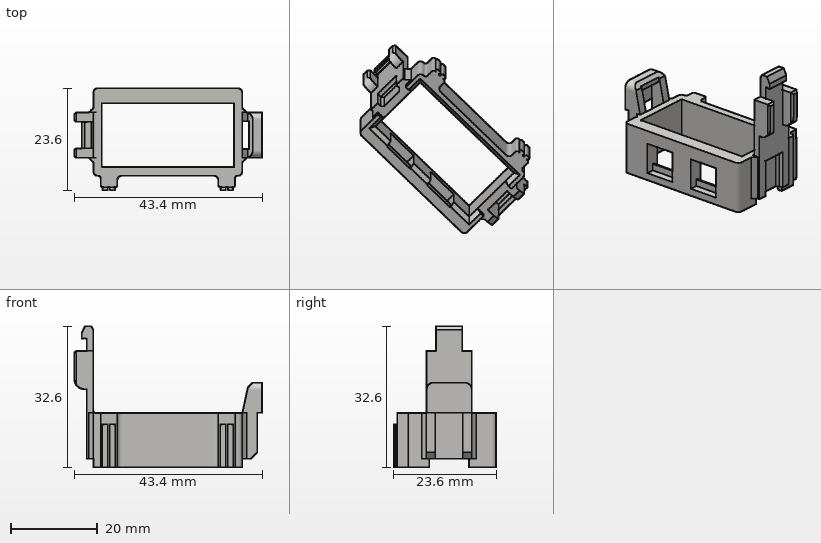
import cadquery as cq
import math


FRAME_HALF_LENGTH = 17.2
FRAME_HEIGHT = 12.6
FRAME_BACK = 10.85
FRAME_FRONT = -9.4
CORNER_RADIUS = 1.0
OPENING_HALF_LENGTH = 15.25
OPENING_HALF_WIDTH = 7.35
OPENING_FLARE = 1.0
CLIP_BOTTOM = 1.95
NOTCH_HALF_WIDTH = 4.55

FOOT_CENTRE = 13.6
FOOT_HALF_WIDTH = 1.95
FOOT_FRONT = -12.02
FOOT_CORNER_RADIUS = 0.48
FOOT_OUTER_FILLET = 0.5
FOOT_INNER_FILLET = 1.0
RIB_PAIR_CENTRE = 13.63
RIB_FRONT = -12.75
RIB_NECK_START = -12.33
RIB_HEIGHT = 9.95
RIB_INNER_OFFSET = 0.2
RIB_OUTER_OFFSET = 1.48
RIB_NECK_OFFSET = 1.2
RIB_RADIUS = 0.25

WINDOW_INNER_X = 2.78
WINDOW_OUTER_X = 10.3
WINDOW_TOP = 9.35
SILL_TOP = 3.47
SILL_INNER_Y = 8.5
SILL_THICKNESS = 0.4
OUTER_SILL_TOP = 1.82

CLIP_HALF_WIDTH = 5.25
SHOULDER_DEPTH = 1.05

ARM_THICKNESS = 1.55
ARM_OUTER_X = -FRAME_HALF_LENGTH - ARM_THICKNESS
ARM_TOP = 32.6
ARM_ROOT_FILLET = 0.5
TONGUE_HALF_WIDTH = 3.05
HOOK_TIP_X = -19.9
HOOK_TIP_TOP = 31.0
HOOK_BOTTOM = 29.65
HOOK_CREST_X = -19.15
TONGUE_CHAMFER_X = 0.48
TONGUE_CHAMFER_Z = 0.8
RELIEF_RADIUS = 0.82 / 2
RELIEF_BELOW_HOOK = 0.25
EAR_OUTER_X = -21.65
EAR_TOP = 26.9
EAR_BOTTOM = 18.0
EAR_RADIUS = 2.5
EAR_CHAMFER = 0.48
RECESS_TOP = 10.95
RECESS_CHAMFER = 0.5

CATCH_OUTER_X = 21.75
CATCH_LEG_OUTER_X = 20.7
CATCH_TOP = 19.57
CATCH_SLANT_END = (18.45, 18.4)
CATCH_CREST_X = 19.6
CATCH_CORNER_RADIUS = 1.7
CATCH_LEG_CHAMFER = 1.55
SLOT_HALF_WIDTH = 3.15
HEADER_INNER_X = 18.7
HEADER_BOTTOM = 17.5


def box(x_range, y_range, z_range):
    """Box between two limits along each axis."""
    size = [high - low for low, high in (x_range, y_range, z_range)]
    corner = (x_range[0], y_range[0], z_range[0])
    return cq.Workplane("XY").box(*size, centered=False).translate(corner)


def both_sides(half_width):
    return (-half_width, half_width)


def extrude_along_y(profile, y_range):
    """Extrude an outline drawn in X and Z on the XZ plane between two Y limits."""
    return profile.extrude(y_range[0] - y_range[1]).translate((0, y_range[0], 0))


def mirror_x(shape):
    return shape.mirror("YZ")


def mirror_y(shape):
    return shape.mirror("XZ")


def concave_fillet(plane, corner, directions, radius):
    """Outline of the fill in an inside corner, spreading along both axes in the given directions."""
    x, y = corner
    step_x, step_y = directions
    middle = radius * (1 - math.sqrt(0.5))
    return (
        cq.Workplane(plane)
        .moveTo(x, y)
        .lineTo(x + step_x * radius, y)
        .threePointArc((x + step_x * middle, y + step_y * middle), (x, y + step_y * radius))
        .close()
    )


def foot():
    """Foot at +X with rounded front corners, and fillets between its sides and the front wall."""
    outer = FOOT_CENTRE + FOOT_HALF_WIDTH
    inner = FOOT_CENTRE - FOOT_HALF_WIDTH
    block = box((inner, outer), (FOOT_FRONT, FRAME_FRONT + CORNER_RADIUS), (0, FRAME_HEIGHT))
    block = block.edges("|Z and <Y").fillet(FOOT_CORNER_RADIUS)
    outer_fillet = concave_fillet("XY", (outer, FRAME_FRONT), (1, -1), FOOT_OUTER_FILLET)
    inner_fillet = concave_fillet("XY", (inner, FRAME_FRONT), (-1, -1), FOOT_INNER_FILLET)
    return block.union(outer_fillet.extrude(FRAME_HEIGHT)).union(inner_fillet.extrude(FRAME_HEIGHT))


def rib():
    """Upright rib on the +X side of a foot's middle, with a rounded front and a tapered neck."""
    inner_x = RIB_INNER_OFFSET + RIB_RADIUS
    outer_x = RIB_OUTER_OFFSET - RIB_RADIUS
    arc_y = RIB_FRONT + RIB_RADIUS
    diagonal = RIB_RADIUS * math.sqrt(0.5)
    return (
        cq.Workplane("XY")
        .moveTo(RIB_INNER_OFFSET, FOOT_FRONT)
        .lineTo(RIB_INNER_OFFSET, arc_y)
        .threePointArc((inner_x - diagonal, arc_y - diagonal), (inner_x, RIB_FRONT))
        .lineTo(outer_x, RIB_FRONT)
        .threePointArc((outer_x + diagonal, arc_y - diagonal), (RIB_OUTER_OFFSET, arc_y))
        .lineTo(RIB_OUTER_OFFSET, RIB_NECK_START)
        .lineTo(RIB_NECK_OFFSET, FOOT_FRONT)
        .close()
        .extrude(RIB_HEIGHT)
    )


def shoulder():
    """Sloping widening of the end wall at +X, behind the clip."""
    root = CLIP_HALF_WIDTH + SHOULDER_DEPTH
    outer_x = FRAME_HALF_LENGTH + SHOULDER_DEPTH
    outline = [
        (OPENING_HALF_LENGTH, -root),
        (FRAME_HALF_LENGTH, -root),
        (outer_x, -CLIP_HALF_WIDTH),
        (outer_x, CLIP_HALF_WIDTH),
        (FRAME_HALF_LENGTH, root),
        (OPENING_HALF_LENGTH, root),
    ]
    height = FRAME_HEIGHT - CLIP_BOTTOM
    return cq.Workplane("XY").workplane(offset=CLIP_BOTTOM).polyline(outline).close().extrude(height)


def frame_outside():
    """Rounded block of the frame with its feet, ribs and shoulders, the same at both ends."""
    body = box(both_sides(FRAME_HALF_LENGTH), (FRAME_FRONT, FRAME_BACK), (0, FRAME_HEIGHT))
    body = body.edges("|Z").fillet(CORNER_RADIUS)
    features = [
        foot(),
        rib().translate((RIB_PAIR_CENTRE, 0, 0)),
        mirror_x(rib()).translate((RIB_PAIR_CENTRE, 0, 0)),
        shoulder(),
    ]
    for feature in features:
        body = body.union(feature).union(mirror_x(feature))
    return body


def opening():
    """Opening through the frame, widening downwards at its bottom."""
    straight = box(both_sides(OPENING_HALF_LENGTH), both_sides(OPENING_HALF_WIDTH), (0, FRAME_HEIGHT))
    flare = (
        cq.Workplane("XY")
        .rect(2 * (OPENING_HALF_LENGTH + OPENING_FLARE), 2 * (OPENING_HALF_WIDTH + OPENING_FLARE))
        .workplane(offset=CLIP_BOTTOM)
        .rect(2 * OPENING_HALF_LENGTH, 2 * OPENING_HALF_WIDTH)
        .loft(ruled=True)
    )
    return straight.union(flare)


def end_notches():
    """Shallow notch through the bottom of both end walls."""
    return box(both_sides(FRAME_HALF_LENGTH), both_sides(NOTCH_HALF_WIDTH), (0, CLIP_BOTTOM))


def window_above_sill():
    """Space to cut for the window in the back wall at +X, leaving the stepped sill across its bottom."""
    x_range = (WINDOW_INNER_X, WINDOW_OUTER_X)
    window = box(x_range, (OPENING_HALF_WIDTH, FRAME_BACK), (0, WINDOW_TOP))
    sill = box(x_range, (SILL_INNER_Y, SILL_INNER_Y + SILL_THICKNESS), (0, SILL_TOP))
    outer_sill = box(x_range, (SILL_INNER_Y, FRAME_BACK), (0, OUTER_SILL_TOP))
    return window.cut(sill).cut(outer_sill)


def tongue():
    """Narrow upper end of the arm, with the hook and the round relief under it."""
    inner_x = -FRAME_HALF_LENGTH
    relief_z = HOOK_BOTTOM - RELIEF_BELOW_HOOK
    outline = [
        (inner_x, EAR_BOTTOM),
        (inner_x, ARM_TOP - TONGUE_CHAMFER_Z),
        (inner_x - TONGUE_CHAMFER_X, ARM_TOP),
        (HOOK_CREST_X, ARM_TOP),
        (HOOK_TIP_X, HOOK_TIP_TOP),
        (HOOK_TIP_X, HOOK_BOTTOM),
        (ARM_OUTER_X, HOOK_BOTTOM),
        (ARM_OUTER_X, EAR_BOTTOM),
    ]
    profile = cq.Workplane("XZ").polyline(outline).close()
    body = extrude_along_y(profile, both_sides(TONGUE_HALF_WIDTH))
    circle = cq.Workplane("XZ").center(ARM_OUTER_X - RELIEF_RADIUS, relief_z).circle(RELIEF_RADIUS)
    return body.cut(extrude_along_y(circle, both_sides(TONGUE_HALF_WIDTH)))


def ear():
    """Block beside the tongue on the +Y side, chamfered around its outer face."""
    inner_x = -FRAME_HALF_LENGTH
    arc_x = EAR_OUTER_X + EAR_RADIUS
    arc_z = EAR_BOTTOM + EAR_RADIUS
    diagonal = EAR_RADIUS * math.sqrt(0.5)
    side = (
        cq.Workplane("XZ")
        .moveTo(inner_x, EAR_BOTTOM)
        .lineTo(arc_x, EAR_BOTTOM)
        .threePointArc((arc_x - diagonal, arc_z - diagonal), (EAR_OUTER_X, arc_z))
        .lineTo(EAR_OUTER_X, EAR_TOP - EAR_CHAMFER)
        .lineTo(EAR_OUTER_X + EAR_CHAMFER, EAR_TOP)
        .lineTo(inner_x, EAR_TOP)
        .close()
    )
    y_range = (TONGUE_HALF_WIDTH, CLIP_HALF_WIDTH)
    envelope = box((EAR_OUTER_X, inner_x), y_range, (EAR_BOTTOM, EAR_TOP))
    envelope = envelope.edges("|Z and <X").chamfer(EAR_CHAMFER)
    return extrude_along_y(side, y_range).intersect(envelope)


def arm_root_fillet():
    """Concave fillet between the inner face of the arm and the top of the frame."""
    corner = (-FRAME_HALF_LENGTH, FRAME_HEIGHT)
    profile = concave_fillet("XZ", corner, (1, 1), ARM_ROOT_FILLET)
    return extrude_along_y(profile, both_sides(CLIP_HALF_WIDTH))


def latch_arm():
    arm = box((ARM_OUTER_X, -FRAME_HALF_LENGTH), both_sides(CLIP_HALF_WIDTH), (CLIP_BOTTOM, EAR_BOTTOM))
    return arm.union(tongue()).union(ear()).union(mirror_y(ear())).union(arm_root_fillet())


def arm_recess():
    """Recess low on the outside of the arm, down to the frame wall, with chamfers around its floor."""
    x_range = (ARM_OUTER_X, -FRAME_HALF_LENGTH)
    recess = box(x_range, both_sides(TONGUE_HALF_WIDTH), (CLIP_BOTTOM, RECESS_TOP))
    return recess.faces(">X").edges("not <Z").chamfer(RECESS_CHAMFER)


def catch():
    """Catch at +X: two legs carrying a slanted, round-cornered head."""
    leg_outer = CATCH_LEG_OUTER_X
    outline = [
        (FRAME_HALF_LENGTH, CLIP_BOTTOM),
        (leg_outer - CATCH_LEG_CHAMFER, CLIP_BOTTOM),
        (leg_outer, CLIP_BOTTOM + CATCH_LEG_CHAMFER),
        (leg_outer, FRAME_HEIGHT),
        (CATCH_OUTER_X, FRAME_HEIGHT),
        (CATCH_OUTER_X, CATCH_TOP),
        (CATCH_CREST_X, CATCH_TOP),
        CATCH_SLANT_END,
        (FRAME_HALF_LENGTH, FRAME_HEIGHT),
    ]
    profile = cq.Workplane("XZ").polyline(outline).close()
    body = extrude_along_y(profile, both_sides(CLIP_HALF_WIDTH))
    envelope = box(
        (FRAME_HALF_LENGTH, CATCH_OUTER_X), both_sides(CLIP_HALF_WIDTH), (CLIP_BOTTOM, CATCH_TOP)
    )
    envelope = envelope.edges("|X and >Z").fillet(CATCH_CORNER_RADIUS)
    return body.intersect(envelope)


def catch_slot():
    """Slot between the legs: closed above by the header, and open to the top in front of it."""
    y_range = both_sides(SLOT_HALF_WIDTH)
    under_header = box((FRAME_HALF_LENGTH, CATCH_LEG_OUTER_X), y_range, (CLIP_BOTTOM, HEADER_BOTTOM))
    before_header = box((FRAME_HALF_LENGTH, HEADER_INNER_X), y_range, (CLIP_BOTTOM, CATCH_TOP))
    return under_header.union(before_header)


result = frame_outside().union(latch_arm()).union(catch())
for cutter in (opening(), end_notches(), window_above_sill(), mirror_x(window_above_sill())):
    result = result.cut(cutter)
result = result.cut(arm_recess()).cut(catch_slot())